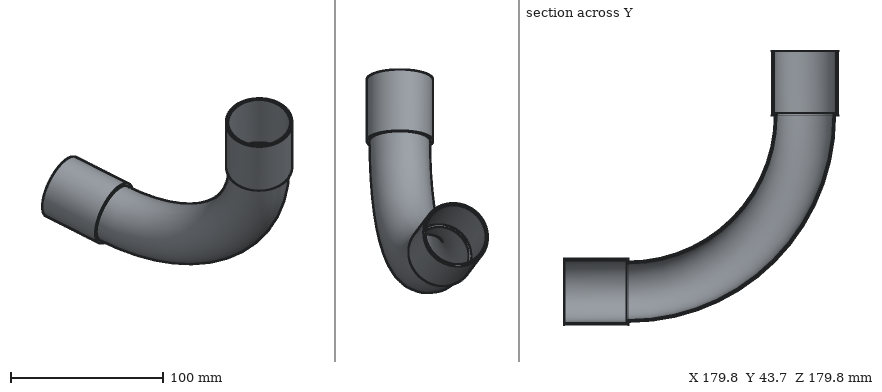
import cadquery as cq

overall_length = 179.8
socket_diameter = 43.7
socket_length = 42.3
pipe_diameter = 40.0
socket_bore = 40.6
pipe_bore = 37.0

pipe_wall = (pipe_diameter - pipe_bore) / 2
socket_depth = socket_length - pipe_wall

axis_offset = socket_diameter / 2
bend_radius = overall_length - axis_offset - socket_length

half_length = overall_length / 2
axis_low = -half_length + axis_offset
axis_high = half_length - axis_offset
bend_start = -half_length + socket_length


def bend(diameter):
    """Quarter-circle bar from the horizontal socket up to the vertical one."""
    return (
        cq.Workplane("YZ", origin=(bend_start, 0, axis_low))
        .circle(diameter / 2)
        .revolve(90, (1.8, bend_radius, 0), (0, bend_radius, 0))
    )


def end_bars(diameter, length):
    """Straight bars running inward from both open ends."""
    horizontal = (
        cq.Workplane("YZ", origin=(-half_length, 0, axis_low))
        .circle(diameter / 2)
        .extrude(length)
    )
    vertical = (
        cq.Workplane("XY", origin=(axis_high, 0, half_length))
        .circle(diameter / 2)
        .extrude(-length)
    )
    return horizontal.union(vertical)


outside = bend(pipe_diameter).union(end_bars(socket_diameter, socket_length))

pipe_passage = bend(pipe_bore).union(end_bars(pipe_bore, socket_length))
socket_recesses = end_bars(socket_bore, socket_depth)
result = outside.cut(pipe_passage).cut(socket_recesses)